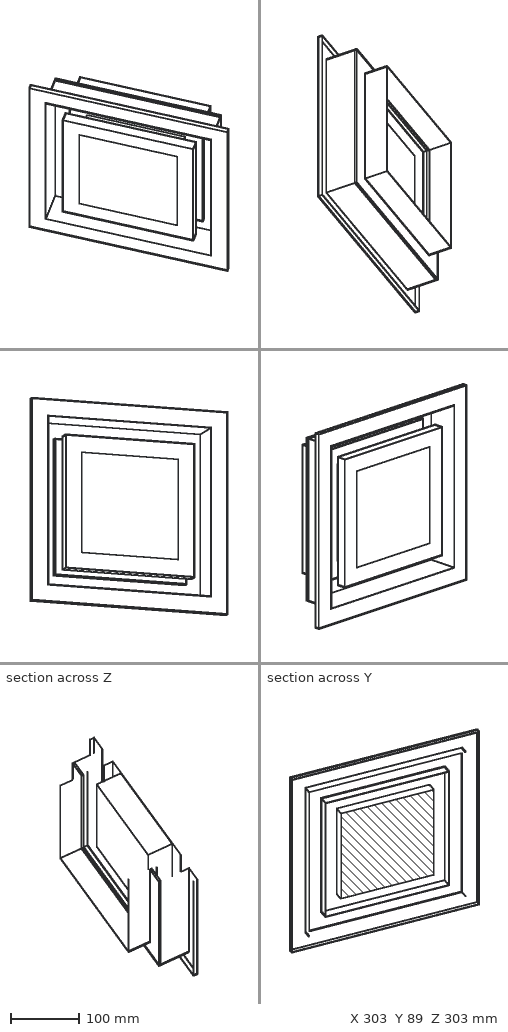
import cadquery as cq

flange_width = 303.0
opening_width = 251.5
panel_width = 200.0
spacer_width = 150.0
duct_width = panel_width

sheet = 1.0

total_depth = 89.0
panel_projection = 1.8
panel_depth = 15.0
flange_depth = 7.3
housing_depth = 51.5
plate_thickness = 3.0
collar_depth = 7.5

panel_front = 0.0
panel_back = panel_front + panel_depth
flange_front = panel_front + panel_projection
flange_back = flange_front + flange_depth
housing_back = flange_front + housing_depth
plate_back = housing_back - sheet
plate_front = plate_back - plate_thickness
collar_front = plate_front - collar_depth
duct_back = panel_front + total_depth

housing_width = opening_width + 2 * sheet
bore_width = duct_width - 2 * sheet
cover_width = duct_width + 2 * sheet
collar_width = cover_width + 2 * sheet


def square_block(width, front, back):
    """Square block centred on the Y axis, from y = front to y = back."""
    depth = back - front
    return cq.Workplane("XY").box(width, depth, width).translate((0, front + depth / 2, 0))


def square_tube(width, front, back):
    """Square sheet-metal tube with the given outer width."""
    inside = square_block(width - 2 * sheet, front, back)
    return square_block(width, front, back).cut(inside)


def square_pan(width, front, back):
    """Square sheet-metal pan, closed at the front and open at the back."""
    inside = square_block(width - 2 * sheet, front + sheet, back)
    return square_block(width, front, back).cut(inside)


def make_housing():
    """Folded front flange, square side walls and a back sheet with a hole for the duct."""
    opening = square_block(opening_width, flange_front, flange_back)
    flange = square_pan(flange_width, flange_front, flange_back).cut(opening)
    walls = square_tube(housing_width, flange_front, housing_back)
    duct_hole = square_block(duct_width, plate_back, housing_back)
    back_sheet = square_block(housing_width, plate_back, housing_back).cut(duct_hole)
    return flange.union(walls).union(back_sheet)


def make_duct():
    """Mounting plate inside the housing, with a duct behind it and a collar in front."""
    bore = square_block(bore_width, plate_front, plate_back)
    plate = square_block(opening_width, plate_front, plate_back).cut(bore)
    neck = square_tube(duct_width, plate_back, duct_back)
    collar = square_tube(collar_width, collar_front, plate_front)
    return plate.union(neck).union(collar)


def make_cover():
    """Flat sheet closing the collar, flush with its front edge."""
    return square_block(cover_width, collar_front, collar_front + sheet)


def make_panel():
    """Front panel pan with a square spacer reaching back to the cover."""
    pan = square_pan(panel_width, panel_front, panel_back)
    spacer = square_block(spacer_width, panel_front + sheet, collar_front)
    return pan.union(spacer)


housing = make_housing()
duct = make_duct()
cover = make_cover()
panel = make_panel()

result = cq.Compound.makeCompound([
    housing.val(),
    duct.val(),
    cover.val(),
    panel.val(),
])